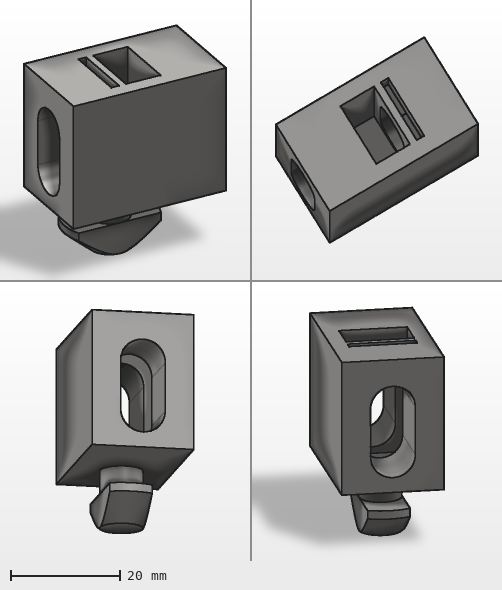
import cadquery as cq
import math

BLOCK_WIDTH = 19.05
BLOCK_LENGTH = 31.75
BLOCK_HEIGHT = 25.4

PASSAGE_WIDTH = 8.33
PASSAGE_HEIGHT = 17.45
PASSAGE_ROOF = 5.1

STEM_DIAMETER = 7.94
STEM_LENGTH = 4.45
STEM_Y = -3.22
HEAD_DIAMETER = 18.9
HEAD_HEIGHT = 6.35
HEAD_RIM = 1.59

OPENING_WIDTH = 12.7
POCKET_LENGTH = 7.2
POCKET_FLOOR = 1.59
GROOVE_LENGTH = 1.59
SLIT_WIDTH = 0.05
WEB = 1.45

POCKET_FRONT_Y = STEM_Y
GROOVE_BACK_Y = POCKET_FRONT_Y - WEB

CROWN_RADIUS = PASSAGE_WIDTH / 2
SLIT_RISE = CROWN_RADIUS - math.sqrt(CROWN_RADIUS**2 - (SLIT_WIDTH / 2) ** 2)
GROOVE_DEPTH = PASSAGE_ROOF + SLIT_RISE


def block():
    return cq.Workplane("XY").box(BLOCK_WIDTH, BLOCK_LENGTH, BLOCK_HEIGHT, centered=(True, True, False))


def passage():
    centre_z = BLOCK_HEIGHT - PASSAGE_ROOF - PASSAGE_HEIGHT / 2
    return (
        cq.Workplane("XZ")
        .center(0, centre_z)
        .slot2D(PASSAGE_HEIGHT, PASSAGE_WIDTH, 90)
        .extrude(BLOCK_LENGTH / 2, both=True)
    )


def top_opening(front_y, length, depth):
    """Rectangular cutter sunk from the top face."""
    return (
        cq.Workplane("XY", origin=(0, front_y + length / 2, BLOCK_HEIGHT))
        .rect(OPENING_WIDTH, length)
        .extrude(-depth)
    )


def foot():
    """Stem and conical head, the head trimmed to the stem's width."""
    stem_radius = STEM_DIAMETER / 2
    head_radius = HEAD_DIAMETER / 2
    head_top = -STEM_LENGTH
    head_bottom = head_top - HEAD_HEIGHT
    turned = (
        cq.Workplane("XZ", origin=(0, STEM_Y, 0))
        .moveTo(0, 0)
        .lineTo(stem_radius, 0)
        .lineTo(stem_radius, head_top)
        .lineTo(head_radius, head_top)
        .lineTo(head_radius, head_top - HEAD_RIM)
        .lineTo(stem_radius, head_bottom)
        .lineTo(0, head_bottom)
        .close()
        .revolve(360, (0, 0, 0), (0, 1, 0))
    )
    trim = cq.Workplane("XY", origin=(0, STEM_Y, head_bottom)).box(
        STEM_DIAMETER, HEAD_DIAMETER, STEM_LENGTH + HEAD_HEIGHT, centered=(True, True, False)
    )
    return turned.intersect(trim)


pocket = top_opening(POCKET_FRONT_Y, POCKET_LENGTH, BLOCK_HEIGHT - POCKET_FLOOR)
groove = top_opening(GROOVE_BACK_Y - GROOVE_LENGTH, GROOVE_LENGTH, GROOVE_DEPTH)

result = block().union(foot()).cut(passage()).cut(pocket).cut(groove)